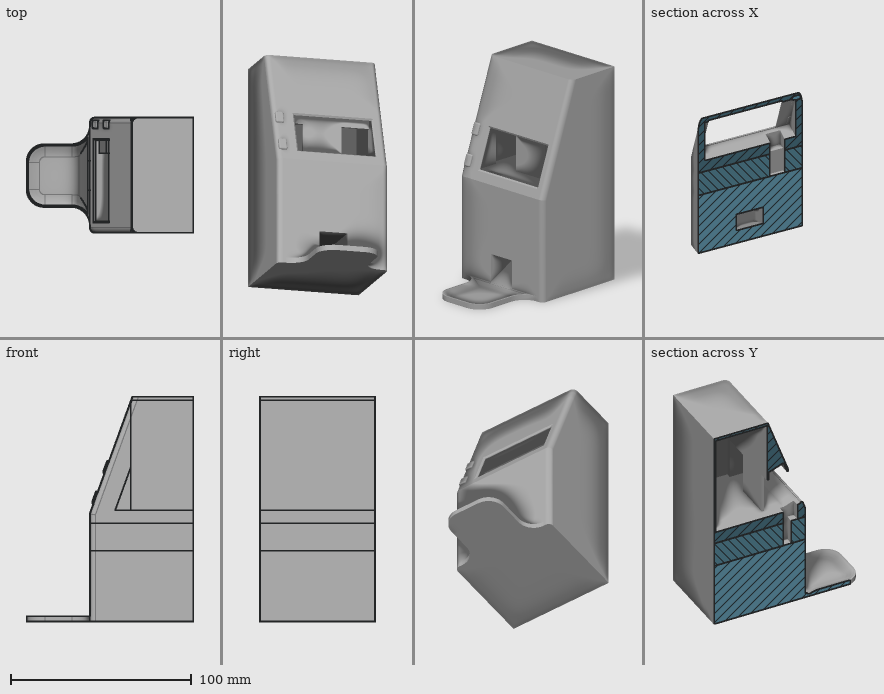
import cadquery as cq
import math

case_depth = 57.3
case_width = 63.8
case_height = 124.3
corner_radius = 3.0
slant_start = 59.7
slant_angle = math.radians(20)
pick_margin = 0.6
slant_run = (case_height - slant_start) * math.tan(slant_angle)

base_top = 39.3
middle_top = 54.3
deck_top = 61.5
lid_bottom = 122.5
cover_front = 22.8
wall = 1.5

front_center = -0.2
tray_length = 35.0
tray_thickness = 3.0
tray_half_width = 17.4
tray_radius = 10.0
tray_rim = 1.0
tray_root = 1.2
bowl_depth = 2.0
bowl_run = 6.0
bowl_floor_back = -6.1
chute_width = 16.2
chute_lip = 2.5
chute_top = 19.4
chute_length = 31.7

window_center = -3.1
panel_skin = 1.2
window_width = 44.8
window_bottom = 6.3
window_top = 30.1
window_chamfer = 0.9
recess_bottom = 5.6
recess_top = 37.3
side_wall = 4.4
panel_thickness = 12.5
port_top = 86.0
port_divider_width = 22.1
port_divider_center = -0.5

slot_front = 5.2
slot_back = 13.9
slot_y_min = 12.2
slot_y_max = 21.0
shaft_front = 9.2

button_width = 4.7
button_length = 7.2
button_center_y = 28.1
button_first = 9.5
button_count = 2
button_pitch = 17.9
button_proud = 1.0
button_embed = 1.5
button_round = 0.9
button_corner = 1.0

slant_plane = cq.Plane(
    origin=(0, 0, slant_start),
    xDir=(0, -1, 0),
    normal=(-math.cos(slant_angle), 0, math.sin(slant_angle)),
)


def block(x_min, x_max, y_min, y_max, z_min, z_max):
    """Axis-aligned box between two opposite corners."""
    size = (x_max - x_min, y_max - y_min, z_max - z_min)
    return cq.Workplane("XY").box(*size, centered=False).translate((x_min, y_min, z_min))


def level_block(z_min, z_max, x_min=0):
    """Box over the whole case width from x_min to the back, between two heights."""
    return block(x_min, case_depth, -case_width / 2, case_width / 2, z_min, z_max)


def front_block(z_min, z_max):
    """Box over the whole case width ahead of the cover, between two heights."""
    return block(0, cover_front, -case_width / 2, case_width / 2, z_min, z_max)


def side_profile(points, y_min, y_max):
    """Outline in X and Z, extruded from y_min to y_max."""
    return cq.Workplane("XZ", origin=(0, y_max, 0)).polyline(points).close().extrude(y_max - y_min)


def make_envelope():
    """Whole outer shape of the case, with rounded front corners."""
    points = [
        (0, 0),
        (case_depth, 0),
        (case_depth, case_height),
        (slant_run, case_height),
        (0, slant_start),
    ]
    body = side_profile(points, -case_width / 2, case_width / 2)
    upright = cq.selectors.BoxSelector(
        (-pick_margin, -case_width, pick_margin),
        (pick_margin, case_width, slant_start - pick_margin),
    )
    sloped = cq.selectors.BoxSelector(
        (pick_margin, -case_width, slant_start + pick_margin),
        (slant_run - pick_margin, case_width, case_height - pick_margin),
    )
    return body.edges(upright + sloped).fillet(corner_radius)


envelope = make_envelope()


def tongue(inset, end_x, bottom, top):
    """Rounded tongue that flares out toward the case, moved inward from the tray edge by inset."""
    tip_x = -tray_length + inset
    side = tray_half_width - inset
    tip_radius = tray_radius - inset
    tip_diagonal = tip_radius * (1 - math.sqrt(0.5))
    flare_radius = tray_radius + inset
    flare_diagonal = flare_radius * (1 - math.sqrt(0.5))
    flare_x = flare_radius - tray_radius
    flare_y = tray_half_width + tray_radius
    end_y = flare_y + end_x
    return (
        cq.Workplane("XY", origin=(0, 0, bottom))
        .moveTo(flare_x, flare_y)
        .threePointArc((flare_x - flare_diagonal, side + flare_diagonal), (-tray_radius, side))
        .lineTo(tip_x + tip_radius, side)
        .threePointArc((tip_x + tip_diagonal, side - tip_diagonal), (tip_x, side - tip_radius))
        .lineTo(tip_x, tip_radius - side)
        .threePointArc((tip_x + tip_diagonal, tip_diagonal - side), (tip_x + tip_radius, -side))
        .lineTo(-tray_radius, -side)
        .threePointArc((flare_x - flare_diagonal, -side - flare_diagonal), (flare_x, -flare_y))
        .lineTo(flare_x, -end_y)
        .lineTo(end_x, -end_y)
        .lineTo(end_x, end_y)
        .lineTo(flare_x, end_y)
        .close()
        .extrude(top - bottom)
    )


def make_bowl():
    """Dish in the tray: a flat floor with a border that curves up to the rim."""
    floor_z = tray_thickness - bowl_depth
    round_radius = (bowl_run**2 + bowl_depth**2) / (2 * bowl_depth)
    top = floor_z + 2 * round_radius
    overrun = 4 * tray_radius
    wall_inset = tray_rim + bowl_run - round_radius
    walls = cq.selectors.BoxSelector(
        (-tray_length - overrun, -overrun, floor_z - pick_margin),
        (pick_margin, overrun, floor_z + pick_margin),
    )
    sides = tongue(wall_inset, overrun, floor_z, top).edges(walls).fillet(round_radius)
    back_wall = bowl_floor_back + round_radius
    back = block(-2 * tray_length, back_wall, -overrun, overrun, floor_z, top)
    back = back.edges(">X and <Z").fillet(round_radius)
    rim_limit = block(-2 * tray_length, -tray_rim, -overrun, overrun, floor_z, tray_thickness)
    return sides.intersect(back).intersect(rim_limit)


def make_base():
    """Lower case with the tray and the ramped chute that empties into it."""
    tray = tongue(0, tray_root, 0, tray_thickness).cut(make_bowl())
    ramp = [(-tray_rim, chute_lip), (chute_length, chute_top), (-tray_rim, chute_top)]
    chute = side_profile(ramp, -chute_width / 2, chute_width / 2)
    offset = (0, front_center, 0)
    case = envelope.intersect(level_block(0, base_top))
    return case.union(tray.translate(offset)).cut(chute.translate(offset))


def make_middle():
    """Plain section of the case with the cable shaft down through it."""
    shaft = block(shaft_front, slot_back, slot_y_min, slot_y_max, base_top, middle_top)
    return envelope.intersect(level_block(base_top, middle_top)).cut(shaft)


def make_button(index):
    """Button set into the slanted face, with a rounded front."""
    button = (
        cq.Workplane(slant_plane)
        .workplane(offset=-button_embed)
        .center(-button_center_y, button_first + index * button_pitch)
        .rect(button_width, button_length)
        .extrude(button_embed + button_proud)
    )
    upright = cq.selectors.ParallelDirSelector(slant_plane.zDir)
    front = cq.selectors.DirectionMinMaxSelector(slant_plane.zDir)
    return button.edges(upright).fillet(button_corner).faces(front).edges().fillet(button_round)


buttons = [make_button(index) for index in range(button_count)]


def make_gusset(side):
    """Triangular plate let into a side wall; side is 1 for +Y and -1 for -Y."""
    setback = panel_thickness / math.cos(slant_angle)
    rise = 1 / math.tan(slant_angle)
    front_x = (deck_top - slant_start) / rise + setback
    tip_z = slant_start + (cover_front - setback) * rise
    points = [(front_x, deck_top), (cover_front, deck_top), (cover_front, tip_z)]
    outer = side * case_width / 2
    inner = outer - side * wall
    return side_profile(points, min(inner, outer), max(inner, outer))


gussets = [make_gusset(side) for side in (-1, 1)]


def make_window():
    """Opening through the panel skin, chamfered on the outside."""
    height = window_top - window_bottom
    center = (-window_center, (window_top + window_bottom) / 2)
    hole = (
        cq.Workplane(slant_plane).center(*center).rect(window_width, height).extrude(-2 * panel_skin)
    )
    bevel = (
        cq.Workplane(slant_plane)
        .center(*center)
        .rect(window_width + 2 * window_chamfer, height + 2 * window_chamfer)
        .extrude(-window_chamfer, taper=45)
    )
    return hole.union(bevel)


def make_recess():
    """Display cavity behind the skin, down to the deck and back to the port wall."""
    recess = (
        cq.Workplane(slant_plane)
        .workplane(offset=-panel_skin)
        .center(0, (recess_top + recess_bottom) / 2)
        .rect(case_width - 2 * side_wall, recess_top - recess_bottom)
        .extrude(-case_depth)
    )
    return recess.intersect(front_block(deck_top, lid_bottom))


def make_ports():
    """Two openings in the port wall, either side of its central divider."""
    divider = block(
        0, case_depth,
        port_divider_center - port_divider_width / 2,
        port_divider_center + port_divider_width / 2,
        0, case_height,
    )
    reach = case_width / 2 - side_wall
    opening = block(cover_front, cover_front + wall, -reach, reach, deck_top, port_top)
    return opening.cut(divider)


def make_panel():
    """Deck, slanted display panel and the port wall that plugs into the cover."""
    inner_half = case_width / 2 - wall
    deck = level_block(middle_top, deck_top)
    front = front_block(deck_top, lid_bottom)
    port_wall = block(cover_front, cover_front + wall, -inner_half, inner_half, deck_top, lid_bottom)
    slot = block(slot_front, slot_back, slot_y_min, slot_y_max, middle_top, slant_start + window_bottom)
    panel = envelope.intersect(deck.union(front).union(port_wall))
    panel = panel.cut(make_window()).cut(make_recess()).cut(make_ports()).cut(slot)
    for inset in buttons + gussets:
        panel = panel.cut(inset)
    return panel


def make_cover():
    """Two thin side walls and a back wall behind the display panel."""
    inner_half = case_width / 2 - wall
    hollow = block(cover_front, case_depth - wall, -inner_half, inner_half, deck_top, lid_bottom)
    return envelope.intersect(level_block(deck_top, lid_bottom, cover_front)).cut(hollow)


def make_lid():
    """Flat plate that closes the top."""
    return envelope.intersect(level_block(lid_bottom, case_height))


base = make_base()
middle = make_middle()
panel = make_panel()
cover = make_cover()
lid = make_lid()

result = cq.Compound.makeCompound(
    [base.val(), middle.val(), panel.val(), cover.val(), lid.val()]
    + [button.val() for button in buttons]
    + [gusset.val() for gusset in gussets]
)